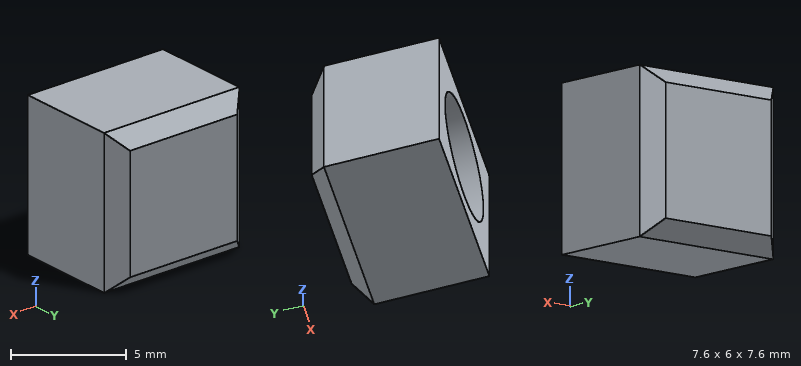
import cadquery as cq

side = 7.6
depth = 6.0
bevel = 0.8
bore_diameter = 5.8
bore_depth = 4.0

block = cq.Workplane("XY").box(side, depth, side, centered=(True, False, True))

block = block.faces(">Y").chamfer(bevel)

bore = cq.Workplane("XZ").circle(bore_diameter / 2).extrude(-bore_depth)

result = block.cut(bore)